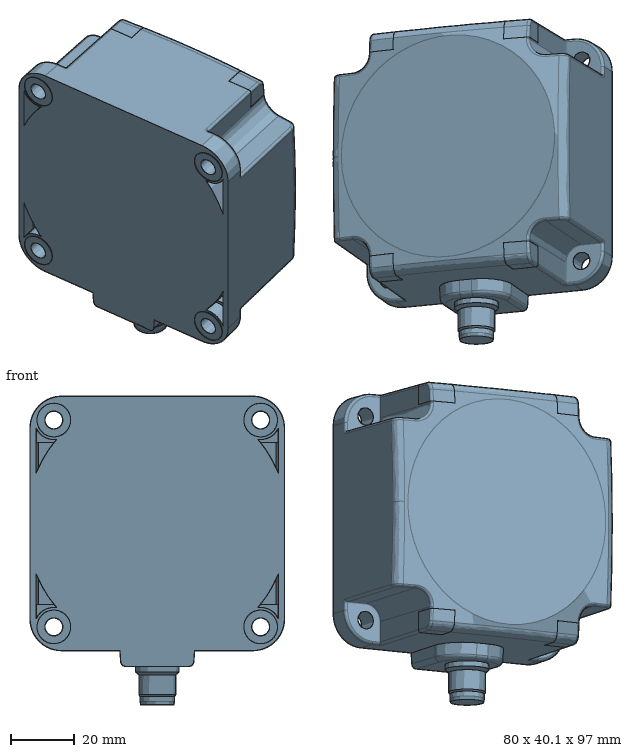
import cadquery as cq
import math

SIDE = 80.0
HALF = SIDE / 2
DEPTH = 39.9
CORNER_RADIUS = 10.0
DRAFT = 0.7
BACK_FLAT_RADIUS = 35.9
BACK_SLOPE = 6.5
BACK_ROUND = 2.9

HOLE_OFFSET = 32.5
HOLE_DIAMETER = 5.5
PAD_DIAMETER = 10.6
PAD_HEIGHT = 0.2
FLANGE_THICKNESS = 7.5
NOTCH_RADIUS = 5.2
NOTCH_DRAFT = 0.5
NOTCH_FLOOR_ROUND = 0.1
NOTCH_EDGE_ROUND = 0.9

POCKET_WALL_OFFSET = 38.0
POCKET_DRAFT = 1.0
POCKET_CORE_RADIUS = 41.2
POCKET_BOSS_RADIUS = 6.1
POCKET_SHALLOW_DEPTH = 4.85
POCKET_STEP = 25.5
BACK_WALL = 1.9

NUB_WIDTH = 23.7
NUB_HEIGHT = 4.9
NUB_TOP = 24.6
NUB_ROUND = 9.8
NUB_DRAFT = 4.0
NUB_EDGE_ROUND = 1.65

TOTAL_HEIGHT = 97.0
CONNECTOR_Y = NUB_TOP - NUB_ROUND
COLLAR_RADIUS = 6.9
BARREL_RADIUS = 5.8
NOSE_RADIUS = 5.4
TIP_RADIUS = 5.2
COLLAR_LENGTH = 1.65
COLLAR_END = 2.6
BARREL_END = 8.8
NOSE_START = 9.4
TIP_START = 11.0

WINDOW_INNER_X = 18.6
WINDOW_INNER_Z = 33.1
WINDOW_START = 31.2
CROSS_WIDTH = 2.9
CROSS_THICKNESS = 2.9

SIGNS = (-1, 1)
CORNERS = [(sx, sz) for sx in SIGNS for sz in SIGNS]
NUB_FACE_Z = -HALF - NUB_HEIGHT
BEYOND = 19.4
OVERLAP = 1.0
SEARCH_REACH = 1.9


def facing_back(y):
    """Workplane at height y whose normal is +Y; local x is -X and local y is +Z."""
    return cq.Workplane(cq.Plane(origin=(0, y, 0), xDir=(-1, 0, 0), normal=(0, 1, 0)))


def box_between(x_range, y_range, z_range):
    """Axis-parallel box given by two opposite limits along each axis."""
    ranges = (x_range, y_range, z_range)
    lows = [min(pair) for pair in ranges]
    sizes = [abs(pair[1] - pair[0]) for pair in ranges]
    return cq.Workplane("XY").box(*sizes, centered=False).translate(tuple(lows))


def below_back(depth):
    """Solid of revolution about Y under a flat face at y = depth with a conical border."""
    rim = HALF * 2
    fall = (rim - BACK_FLAT_RADIUS) * math.tan(math.radians(BACK_SLOPE))
    outline = [
        (0, -BEYOND),
        (rim, -BEYOND),
        (rim, depth - fall),
        (BACK_FLAT_RADIUS, depth),
        (0, depth),
    ]
    return cq.Workplane("XY").polyline(outline).close().revolve(360, (0, 0, 0), (0, 1, 0))


def block():
    """Drafted block with the conical back border and rounded back edges."""
    raw_block = facing_back(0).rect(SIDE, SIDE).extrude(DEPTH, taper=DRAFT)
    body = raw_block.intersect(below_back(DEPTH))
    back_edges = [edge for edge in body.faces("%CONE").edges().vals() if edge.geomType() != "CIRCLE"]
    return body.newObject(back_edges).fillet(BACK_ROUND)


def notch_tool(sx, sz):
    """Space for a screw head behind the flange, open towards the corner."""
    inner = HOLE_OFFSET - NOTCH_RADIUS
    size = 2 * BEYOND
    centre = inner + size / 2
    return (
        facing_back(FLANGE_THICKNESS)
        .sketch()
        .push([(-sx * centre, sz * centre)])
        .rect(size, size)
        .reset()
        .vertices()
        .fillet(NOTCH_RADIUS)
        .finalize()
        .extrude(DEPTH, taper=-NOTCH_DRAFT)
        .faces("<Y")
        .edges()
        .fillet(NOTCH_FLOOR_ROUND)
    )


def edges_near(body, centre):
    """Edges of the body whose centres lie within a small cube around the given point."""
    low = tuple(value - SEARCH_REACH for value in centre)
    high = tuple(value + SEARCH_REACH for value in centre)
    return body.edges(cq.selectors.BoxSelector(low, high))


def with_mounting_corners(body):
    """Cut the four notches, round the flange corners and soften each notch outline."""
    for sx, sz in CORNERS:
        body = body.cut(notch_tool(sx, sz))
    for sx, sz in CORNERS:
        corner = (sx * HALF, FLANGE_THICKNESS / 2, sz * HALF)
        body = edges_near(body, corner).fillet(CORNER_RADIUS)
    for sx, sz in CORNERS:
        wall_edge = (sx * HALF, DEPTH / 2, sz * (HOLE_OFFSET - NOTCH_RADIUS))
        body = edges_near(body, wall_edge).fillet(NOTCH_EDGE_ROUND)
    return body


def nub():
    """Drafted nub with a rounded top that carries the connector."""
    root_z = -HALF + OVERLAP
    plane = cq.Plane(origin=(0, 0, root_z), xDir=(1, 0, 0), normal=(0, 0, -1))
    blank = (
        cq.Workplane(plane)
        .sketch()
        .rect(NUB_WIDTH, 2 * NUB_TOP)
        .vertices()
        .fillet(NUB_ROUND)
        .finalize()
        .extrude(NUB_HEIGHT + OVERLAP, taper=NUB_DRAFT)
        .faces("<Z")
        .edges()
        .fillet(NUB_EDGE_ROUND)
    )
    return blank.intersect(box_between((-HALF, HALF), (0, DEPTH), (NUB_FACE_Z, root_z)))


def pocket_tool(sx, sz):
    """Pocket between the outer wall, the round core and the hole boss; shallow beside the hole."""
    inner = sx * (HOLE_OFFSET - NOTCH_RADIUS)
    outer = sx * POCKET_WALL_OFFSET
    draft_run = DEPTH * math.tan(math.radians(POCKET_DRAFT))
    footprint = [
        (inner, 0),
        (outer, 0),
        (outer - sx * draft_run, DEPTH),
        (inner, DEPTH),
    ]
    blank = (
        cq.Workplane("XY")
        .polyline(footprint)
        .close()
        .extrude(sz * HOLE_OFFSET)
        .intersect(below_back(DEPTH - BACK_WALL))
    )
    core = facing_back(0).circle(POCKET_CORE_RADIUS).extrude(DEPTH)
    boss = hole_tool(sx, sz, 2 * POCKET_BOSS_RADIUS)
    below_shallow = box_between(
        (0, sx * HALF),
        (POCKET_SHALLOW_DEPTH, DEPTH),
        (sz * POCKET_STEP, sz * HALF),
    )
    return blank.cut(core).cut(boss).cut(below_shallow)


def hole_tool(sx, sz, diameter):
    """Cylinder along a mounting hole axis, long enough to pass through the flange."""
    return (
        facing_back(-BEYOND)
        .center(-sx * HOLE_OFFSET, sz * HOLE_OFFSET)
        .circle(diameter / 2)
        .extrude(DEPTH + BEYOND)
    )


def pad(sx, sz):
    """Thin round pad on the flange face around a mounting hole."""
    return (
        facing_back(-PAD_HEIGHT)
        .center(-sx * HOLE_OFFSET, sz * HOLE_OFFSET)
        .circle(PAD_DIAMETER / 2)
        .extrude(PAD_HEIGHT + OVERLAP)
    )


def outer_housing():
    """Complete housing before the light guide is taken out of it."""
    body = with_mounting_corners(block()).union(nub())
    for sx, sz in CORNERS:
        body = body.cut(pocket_tool(sx, sz))
        body = body.union(pad(sx, sz))
        body = body.cut(hole_tool(sx, sz, HOLE_DIAMETER))
    return body


def light_guide_space():
    """Four corner windows reaching the outer faces, joined by two crossed bars."""
    end_x = WINDOW_INNER_X + CROSS_WIDTH
    end_z = WINDOW_INNER_Z + CROSS_WIDTH
    bar_length = 2 * math.hypot(end_x, end_z)
    bar_angle = math.degrees(math.atan2(end_z, end_x))
    space = cq.Workplane("XY")
    for sign in SIGNS:
        bar = (
            facing_back(WINDOW_START)
            .transformed(rotate=(0, 0, sign * bar_angle))
            .rect(bar_length, CROSS_WIDTH)
            .extrude(CROSS_THICKNESS)
        )
        space = space.union(bar)
    for sx, sz in CORNERS:
        window = box_between(
            (sx * WINDOW_INNER_X, sx * HOLE_OFFSET),
            (WINDOW_START, DEPTH),
            (sz * WINDOW_INNER_Z, sz * HALF),
        )
        space = space.union(window)
    return space


def connector():
    """Turned connector with a collar, a barrel and a stepped nose."""
    tip_end = HALF - TOTAL_HEIGHT - NUB_FACE_Z
    profile = [
        (0, 0),
        (COLLAR_RADIUS, 0),
        (COLLAR_RADIUS, -COLLAR_LENGTH),
        (BARREL_RADIUS, -COLLAR_END),
        (BARREL_RADIUS, -BARREL_END),
        (NOSE_RADIUS, -NOSE_START),
        (NOSE_RADIUS, -TIP_START),
        (TIP_RADIUS, tip_end),
        (0, tip_end),
    ]
    return (
        cq.Workplane("XZ")
        .polyline(profile)
        .close()
        .revolve(360, (0, 0, 0), (0, 1, 0))
        .translate((0, CONNECTOR_Y, NUB_FACE_Z))
    )


full_housing = outer_housing()
guide_space = light_guide_space()
housing = full_housing.cut(guide_space)
light_guide = full_housing.intersect(guide_space)
plug = connector()

result = cq.Compound.makeCompound([housing.val(), light_guide.val(), plug.val()])